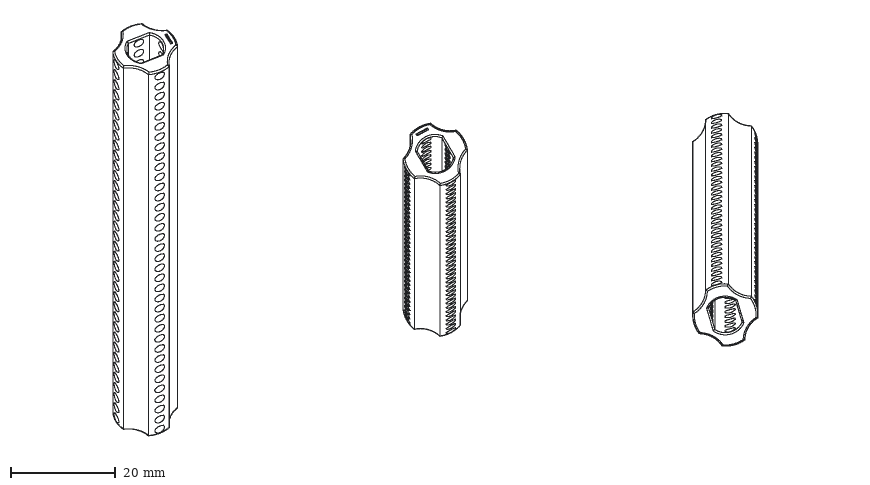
import cadquery as cq
import math

length = 112.5
outer_radius = 6.24

lobe_half_width = 2.2
flute_depth = 5.1

bore_width = 5.4
bore_height = 7.1
bore_flat_length = 4.5

end_chamfer = 0.3

hole_diameter = 2.0
hole_count = 36
hole_pitch = length / hole_count

groove_length = 2.5
groove_width = 0.3
groove_center_y = 5.1
groove_depth = 0.3


def polar(radius, angle):
    """Point at a radius and an angle in degrees."""
    turn = math.radians(angle)
    return (radius * math.cos(turn), radius * math.sin(turn))


def lobed_tube():
    """Tube body with a rounded lobe on each axis and a flute on each diagonal."""
    lobe_angle = math.degrees(math.asin(lobe_half_width / outer_radius))
    outline = cq.Workplane("XY").moveTo(*polar(outer_radius, -lobe_angle))
    for axis_angle in (0, 90, 180, 270):
        outline = outline.threePointArc(
            polar(outer_radius, axis_angle),
            polar(outer_radius, axis_angle + lobe_angle),
        )
        outline = outline.threePointArc(
            polar(flute_depth, axis_angle + 45),
            polar(outer_radius, axis_angle + 90 - lobe_angle),
        )
    return outline.close().extrude(length)


def flatted_bore():
    """Full-length bore with flat X sides and arched Y ends."""
    half_width = bore_width / 2
    half_height = bore_height / 2
    half_flat = bore_flat_length / 2
    return (
        cq.Workplane("XY")
        .moveTo(half_width, -half_flat)
        .lineTo(half_width, half_flat)
        .threePointArc((0, half_height), (-half_width, half_flat))
        .lineTo(-half_width, -half_flat)
        .threePointArc((0, -half_height), (half_width, -half_flat))
        .close()
        .extrude(length)
    )


def cross_holes(plane):
    """Row of holes running right through the tube, square to the given plane."""
    centers = [(0, (index + 0.5) * hole_pitch) for index in range(hole_count)]
    return (
        cq.Workplane(plane)
        .pushPoints(centers)
        .circle(hole_diameter / 2)
        .extrude(outer_radius, both=True)
    )


def index_groove():
    """Straight index groove in the top face."""
    return (
        cq.Workplane("XY", origin=(0, groove_center_y, length - groove_depth))
        .rect(groove_length, groove_width)
        .extrude(groove_depth)
    )


result = lobed_tube().cut(flatted_bore())
result = result.faces("|Z").chamfer(end_chamfer)
for hole_plane in ("XZ", "YZ"):
    result = result.cut(cross_holes(hole_plane))
result = result.cut(index_groove())